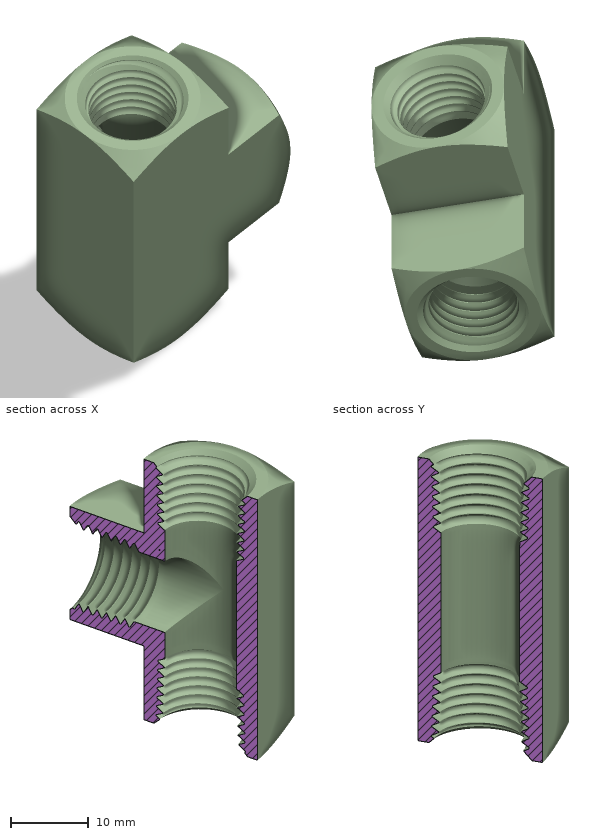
import cadquery as cq
import math


SIDE = 17.46
RUN_LENGTH = 40.13
REACH = RUN_LENGTH / 2
CORNER_ANGLE = 30

PORT_TILTS = [0, 180, -90]

BORE_RADIUS = 5.45
MOUTH_RADIUS = 7.18
MOUTH_ANGLE = 45

PITCH = 25.4 / 18
TAPER = 1 / 32
THREAD_DEPTH = 10.2
CREST_RADIUS = BORE_RADIUS + TAPER * THREAD_DEPTH
CREST_FLAT = 0.04
ROOT_FLAT = 0.14
FLANK_SLOPE = math.tan(math.radians(30))
GROOVE_DEPTH = (PITCH - CREST_FLAT - ROOT_FLAT) / 2 / FLANK_SLOPE
OVERLAP = 0.02
THREAD_TURNS = math.ceil(THREAD_DEPTH / PITCH) + 1
START_ANGLE = 180


def make_body():
    run = cq.Workplane("XY").box(SIDE, SIDE, RUN_LENGTH)
    branch = cq.Workplane("XY").box(SIDE, REACH, SIDE, centered=(True, False, True))
    return run.union(branch)


def revolved(profile):
    """Solid of revolution about Z from a list of (radius, z) points."""
    return cq.Workplane("XZ").polyline(profile).close().revolve(360, (0, 0), (0, 1))


def corner_relief():
    """Everything outside the cone that trims the corners of the +Z port face."""
    inner = SIDE / 2
    outer = SIDE
    drop = (outer - inner) * math.tan(math.radians(CORNER_ANGLE))
    return revolved([(inner, REACH), (outer, REACH), (outer, REACH - drop)])


def port_bore():
    """Plain bore, tapered thread bore and mouth chamfer of the +Z port."""
    mouth_slope = math.tan(math.radians(MOUTH_ANGLE))
    mouth_depth = (MOUTH_RADIUS - CREST_RADIUS) / (1 / mouth_slope - TAPER)
    return revolved(
        [
            (0, 0),
            (BORE_RADIUS, 0),
            (BORE_RADIUS, REACH - THREAD_DEPTH),
            (CREST_RADIUS - TAPER * mouth_depth, REACH - mouth_depth),
            (MOUTH_RADIUS, REACH),
            (0, REACH),
        ]
    )


def thread_turn(index):
    """One turn of the right-hand tapered groove, counted from the bottom of the +Z thread."""
    rise = index * PITCH
    crest = BORE_RADIUS + TAPER * rise
    half_root = ROOT_FLAT / 2
    half_mouth = half_root + (GROOVE_DEPTH + OVERLAP) * FLANK_SLOPE
    profile = [
        (crest - OVERLAP, -half_mouth),
        (crest + GROOVE_DEPTH, -half_root),
        (crest + GROOVE_DEPTH, half_root),
        (crest - OVERLAP, half_mouth),
    ]
    taper_angle = math.degrees(math.atan(TAPER))
    helices = [
        cq.Wire.makeHelix(PITCH, PITCH, radius, cq.Vector(0, 0, height), angle=taper_angle)
        for radius, height in profile
    ]
    faces = [
        cq.Face.makeRuledSurface(helices[i - 1], helices[i]) for i in range(len(helices))
    ]
    for end_of in [cq.Wire.startPoint, cq.Wire.endPoint]:
        corners = [end_of(helix) for helix in helices]
        faces.append(cq.Face.makeFromWires(cq.Wire.makePolygon(corners, close=True)))
    turn = cq.Solid.makeSolid(cq.Shell.makeShell(faces))
    turn = turn.rotate((0, 0, 0), (0, 0, 1), START_ANGLE)
    return cq.Workplane(turn.translate((0, 0, REACH - THREAD_DEPTH + rise)))


def threaded_port():
    """Bore of the +Z port together with its thread groove."""
    port = port_bore()
    for index in range(THREAD_TURNS):
        port = port.union(thread_turn(index))
    return port


def on_port(tool, tilt):
    """Turn a +Z port tool about X onto another port."""
    return tool.rotate((0, 0, 0), (1, 0, 0), tilt)


result = make_body()
for tool in [corner_relief(), threaded_port()]:
    for port_tilt in PORT_TILTS:
        result = result.cut(on_port(tool, port_tilt))